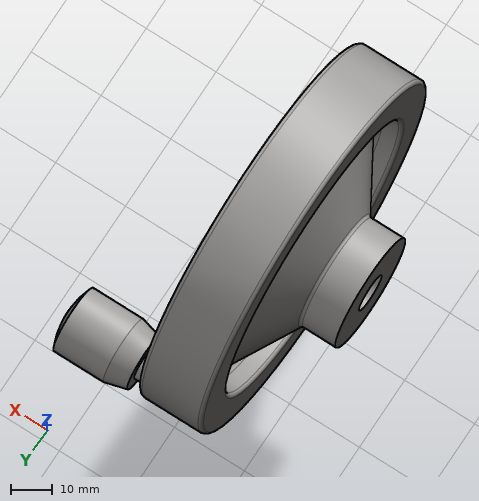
import cadquery as cq
import math

wheel_radius = 100.0 / 2
rim_start = 16.0
rim_width = 18.0
rim_end = rim_start + rim_width
edge_round = 1.0
selection_margin = 0.4
recess_radius = 77.0 / 2
recess_floor_round = 1.4

hub_radius = 31 / 2
bore_diameter = 10.0
cone_start = 10.0
cone_angle = math.radians(59)
cone_end = cone_start + (recess_radius - hub_radius) / math.tan(cone_angle)

handle_reach = 103.3 - wheel_radius
grip_radius = 18.0 / 2
handle_offset = handle_reach - grip_radius
stem_radius = 8.7 / 2
grip_neck_radius = 7.4
grip_start = 36.0
taper_end = 41.9
dome_start = 56.2
handle_end = 58.1


def make_wheel():
    """Revolve the hub, cone and recessed rim, then round the circular edges."""
    wheel = (
        cq.Workplane("XY")
        .moveTo(0, 0)
        .lineTo(0, hub_radius)
        .lineTo(cone_start, hub_radius)
        .lineTo(cone_end, recess_radius)
        .lineTo(rim_start, recess_radius)
        .lineTo(rim_start, wheel_radius)
        .lineTo(rim_end, wheel_radius)
        .lineTo(rim_end, 0)
        .close()
        .revolve(360, (0, 0, 0), (1, 0, 0))
    )
    rounded_circles = [
        (cone_start, hub_radius, edge_round),
        (cone_end, recess_radius, recess_floor_round),
        (rim_start, recess_radius, edge_round),
        (rim_start, wheel_radius, edge_round),
        (rim_end, wheel_radius, edge_round),
    ]
    for x, radius, round_radius in rounded_circles:
        reach = radius + selection_margin
        around_circle = cq.selectors.BoxSelector(
            (x - selection_margin, -reach, -reach),
            (x + selection_margin, reach, reach),
            boundingbox=True,
        )
        widest = cq.selectors.RadiusNthSelector(-1)
        wheel = wheel.edges("%CIRCLE").edges(around_circle).edges(widest).fillet(round_radius)
    return wheel


def make_handle():
    """Revolve the stem and the tapered, dome-ended grip about the handle axis."""
    dome_rise = handle_end - dome_start
    dome_radius = (grip_radius**2 + dome_rise**2) / (2 * dome_rise)
    half_angle = math.asin(grip_radius / dome_radius) / 2
    dome_middle = (
        handle_end - dome_radius * (1 - math.cos(half_angle)),
        dome_radius * math.sin(half_angle),
    )
    return (
        cq.Workplane("XY")
        .moveTo(rim_end, 0)
        .lineTo(rim_end, stem_radius)
        .lineTo(grip_start, stem_radius)
        .lineTo(grip_start, grip_neck_radius)
        .lineTo(taper_end, grip_radius)
        .lineTo(dome_start, grip_radius)
        .threePointArc(dome_middle, (handle_end, 0))
        .close()
        .revolve(360, (0, 0, 0), (1, 0, 0))
        .translate((0, handle_offset, 0))
    )


bore = cq.Workplane("YZ").circle(bore_diameter / 2).extrude(rim_end)
result = make_wheel().union(make_handle()).cut(bore)